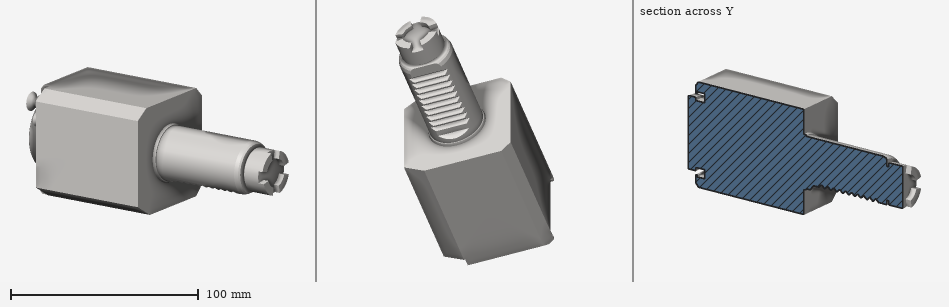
import cadquery as cq
import math


block_size = 60.0
block_length = 66.0
half_block = block_size / 2
back_chamfer = 5.3
top_front_chamfer = (8.0, 5.3)
low_front_chamfer = (11.4, 7.0)
cap_face_x = -block_length

rail_depth = 6.0
rail_height = 6.0
rail_chamfer = (1.8, 2.3)
lip_depth = 1.2
lip_height = 1.0
top_rail_end_y = -16.5
low_rail_end_y = -18.0

cap_radius = 21.0
cap_length = 11.1
cap_chamfer = 0.6
cap_rim_length = 5.4
cap_flat_height = 19.1

shank_radius = 15.0
shank_length = 55.0
collar_length = 1.6
collar_root_radius = 16
collar_end_radius = 15.6
taper_start_x = 52.0
taper_end_x = 54.2
taper_end_radius = 14.5
shank_tip_radius = 13.7

flat_depth_z = -12.3
flat_ramp_start_x = 4.1
flat_start_x = 6.3
tooth_count = 10
tooth_pitch = 4.0
tooth_groove_depth = 1.8
tooth_groove_half_width = 1.8
first_groove_x = 11.5

neck_radius = 9.8
neck_end_x = 55.9
coupling_radius = 12.1
coupling_chamfer = 0.6
coupling_end_x = 68.9
claw_depth = 3.4
claw_bore_radius = 7.7
claw_slot_outer_width = 6.7
claw_slot_bore_width = 5.0
short_claw_step = 0.9

large_screw_center = (-22.9, 21.9)
large_screw_height = 7.5
large_head_radius = 5.3
large_neck_radius = 2.6
large_neck_length = 1.2
large_dome_radius = 6.0
large_dome_height = 3.5
small_screw_center = (-25.7, 13.7)
small_screw_height = 2.0
small_head_radius = 4.1
small_base_radius = 2.6


def box(x_range, y_range, z_range):
    """Box from its (low, high) ranges along X, Y and Z."""
    ranges = (x_range, y_range, z_range)
    sizes = [high - low for low, high in ranges]
    corner = cq.Vector(*[low for low, high in ranges])
    return cq.Workplane("XY").box(*sizes, centered=False).translate(corner)


def turned(profile):
    """Solid of revolution about X from (X, radius) points, closed along the axis."""
    points = [(profile[0][0], 0), *profile, (profile[-1][0], 0)]
    return cq.Workplane("XY").polyline(points).close().revolve(360, (0, 0, 0), (1, 0, 0))


def block_prism(x_start):
    """Block cross-section extruded from x_start to the shank face."""
    h = half_block
    outline = [
        (h, h - back_chamfer),
        (h - back_chamfer, h),
        (-h + top_front_chamfer[0], h),
        (-h, h - top_front_chamfer[1]),
        (-h, -h + low_front_chamfer[1]),
        (-h + low_front_chamfer[0], -h),
        (h - back_chamfer, -h),
        (h, -h + back_chamfer),
    ]
    return cq.Workplane("YZ", origin=(x_start, 0, 0)).polyline(outline).close().extrude(-x_start)


def rail(side, end_y):
    """Lipped rail on the cap face, at the top (side = 1) or bottom (side = -1)."""
    outer_x = cap_face_x - rail_depth
    inner_z = half_block - rail_height
    profile = [
        (0, half_block),
        (0, inner_z),
        (outer_x + lip_depth, inner_z),
        (outer_x + lip_depth, inner_z - lip_height),
        (outer_x, inner_z - lip_height),
        (outer_x, half_block - rail_chamfer[1]),
        (outer_x + rail_chamfer[0], half_block),
    ]
    points = [(x, side * z) for x, z in profile]
    bar = cq.Workplane("XZ", origin=(0, half_block, 0)).polyline(points).close()
    return bar.extrude(half_block - end_y).intersect(block_prism(outer_x))


def cap():
    """Round cap with a full rim and two flats between the rim and the block."""
    front_x = cap_face_x - cap_length
    disc = turned([
        (front_x, cap_radius - cap_chamfer),
        (front_x + cap_chamfer, cap_radius),
        (cap_face_x, cap_radius),
    ])
    across = (-cap_radius, cap_radius)
    flat_x = (front_x + cap_rim_length, cap_face_x)
    upper = box(flat_x, across, (cap_flat_height, cap_radius))
    lower = box(flat_x, across, (-cap_radius, -cap_flat_height))
    return disc.cut(upper).cut(lower)


def shank():
    """Shank with collar, tapered tip and a toothed flat facing -Z."""
    body = turned([
        (0, collar_root_radius),
        (collar_length, collar_end_radius),
        (collar_length, shank_radius),
        (taper_start_x, shank_radius),
        (taper_end_x, taper_end_radius),
        (shank_length, shank_tip_radius),
    ])
    groove_top_z = flat_depth_z + tooth_groove_depth
    underside = [(flat_ramp_start_x, -shank_radius), (flat_start_x, flat_depth_z)]
    for i in range(tooth_count):
        x = first_groove_x + i * tooth_pitch
        underside.append((x - tooth_groove_half_width, flat_depth_z))
        underside.append((x, groove_top_z))
        underside.append((x + tooth_groove_half_width, flat_depth_z))
    underside += [
        (shank_length, flat_depth_z),
        (shank_length, -collar_root_radius),
        (flat_ramp_start_x, -collar_root_radius),
    ]
    cutter = cq.Workplane("XZ").polyline(underside).close().extrude(shank_radius, both=True)
    return body.cut(cutter)


def coupling():
    """Neck and drive coupling ending in four claws, one of them shorter."""
    neck = turned([(shank_length, neck_radius), (neck_end_x, neck_radius)])
    drum = turned([
        (neck_end_x, coupling_radius - coupling_chamfer),
        (neck_end_x + coupling_chamfer, coupling_radius),
        (coupling_end_x, coupling_radius),
    ])

    claw_plane = cq.Workplane("YZ", origin=(coupling_end_x, 0, 0))
    body = neck.union(drum).cut(claw_plane.circle(claw_bore_radius).extrude(-claw_depth))

    flare = (claw_slot_outer_width - claw_slot_bore_width) / (coupling_radius - claw_bore_radius)
    center_half_width = (claw_slot_bore_width - flare * claw_bore_radius) / 2
    reach = 2 * coupling_radius
    reach_half_width = center_half_width + flare * reach / 2
    slot = claw_plane.polyline([
        (0, -center_half_width),
        (reach, -reach_half_width),
        (reach, reach_half_width),
        (0, center_half_width),
    ]).close().extrude(-claw_depth)
    for quarter in range(4):
        body = body.cut(slot.rotate((0, 0, 0), (1, 0, 0), 90 * quarter))

    shortening = box(
        (coupling_end_x - short_claw_step, coupling_end_x),
        (-coupling_radius, 0),
        (0, coupling_radius),
    )
    return body.cut(shortening)


def large_screw():
    """Screw with a flared head and a short neck on a spherical dome."""
    dome_center_x = math.sqrt(large_dome_radius**2 - large_neck_radius**2) - large_dome_height
    dome = cq.Workplane("XY").sphere(large_dome_radius).translate((dome_center_x, 0, 0))
    neck_start_x = -large_dome_height - large_neck_length
    head = turned([
        (-large_screw_height, large_head_radius),
        (neck_start_x, large_neck_radius),
        (0, large_neck_radius),
    ])
    return head.union(dome).translate((cap_face_x, *large_screw_center))


def small_screw():
    """Screw of which only a flared head stands out of the face."""
    head = turned([
        (-small_screw_height, small_head_radius),
        (0, small_base_radius),
    ])
    return head.translate((cap_face_x, *small_screw_center))


result = block_prism(cap_face_x)
result = result.union(rail(1, top_rail_end_y)).union(rail(-1, low_rail_end_y))
result = result.union(cap()).union(shank()).union(coupling())
result = result.union(large_screw()).union(small_screw())